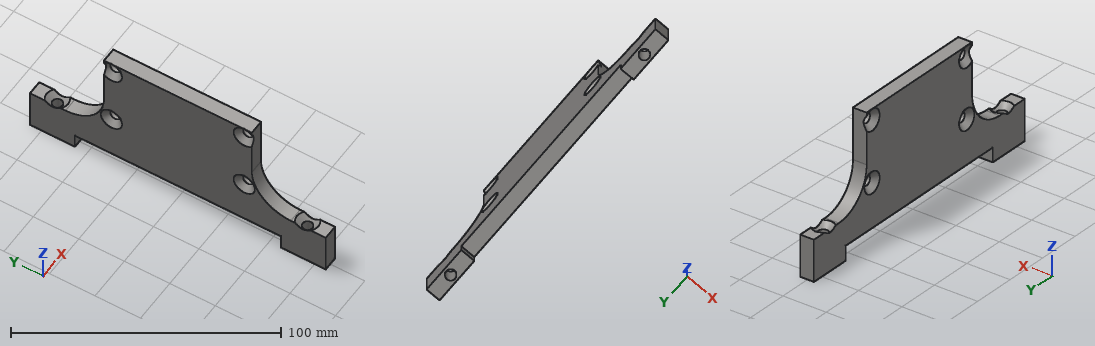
import cadquery as cq

thickness = 6.4
length = 130.0
height = 57.3
panel_width = 65.0
shoulder_height = 18.1
fillet_radius = 17.0
foot_length = 19.8
foot_height = 6.4

hole_diameter = 4.3
countersink_diameter = 9.4
countersink_angle = 90.0
panel_hole_spacing_y = 58.4
panel_hole_spacing_z = 26.8
panel_hole_top_inset = 4.7
foot_hole_spacing = 110.0


def plate():
    """Upright panel with filleted shoulders running out to two feet."""
    half_length = length / 2
    half_panel = panel_width / 2
    notch_half = half_length - foot_length
    fillet_end = half_panel + fillet_radius
    fillet_top = shoulder_height + fillet_radius
    return (
        cq.Workplane("YZ")
        .moveTo(-half_length, 0)
        .lineTo(-notch_half, 0)
        .lineTo(-notch_half, foot_height)
        .lineTo(notch_half, foot_height)
        .lineTo(notch_half, 0)
        .lineTo(half_length, 0)
        .lineTo(half_length, shoulder_height)
        .lineTo(fillet_end, shoulder_height)
        .radiusArc((half_panel, fillet_top), fillet_radius)
        .lineTo(half_panel, height)
        .lineTo(-half_panel, height)
        .lineTo(-half_panel, fillet_top)
        .radiusArc((-fillet_end, shoulder_height), fillet_radius)
        .lineTo(-half_length, shoulder_height)
        .close()
        .extrude(thickness / 2, both=True)
    )


def drill_panel_holes(body):
    """Four holes along X, countersunk on the -X face."""
    hole_centre_z = height - panel_hole_top_inset - panel_hole_spacing_z / 2
    return (
        body.copyWorkplane(cq.Workplane("YZ", origin=(-thickness / 2, 0, hole_centre_z)))
        .transformed(rotate=(0, 180, 0))
        .rarray(panel_hole_spacing_y, panel_hole_spacing_z, 2, 2)
        .cskHole(hole_diameter, countersink_diameter, countersink_angle)
    )


def drill_foot_holes(body):
    """One vertical hole through each foot, countersunk on the shoulder."""
    return (
        body.copyWorkplane(cq.Workplane("XY", origin=(0, 0, shoulder_height)))
        .rarray(1.3, foot_hole_spacing, 1, 2)
        .cskHole(hole_diameter, countersink_diameter, countersink_angle)
    )


result = drill_foot_holes(drill_panel_holes(plate()))